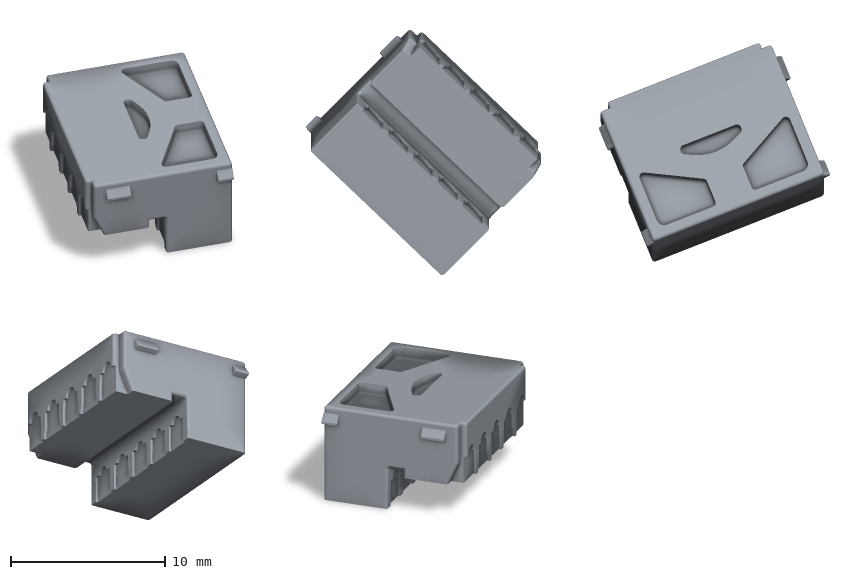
import cadquery as cq
import math

BODY_WIDTH = 12.0
BODY_DEPTH = 9.7
BODY_HEIGHT = 6.55
EDGE_RADIUS = 0.19
DRAFT_SLOPE = math.tan(math.radians(1))

TONGUE_WIDTH = 10.68
SHOULDER_DEPTH = 0.41
TONGUE_BOTTOM = 2.34
UNDERCUT_TOP = 3.83
UNDERCUT_END_Y = 1.08

SLOT_FRONT_Y = 4.13
STEP_FRONT_Y = 5.25
SLOT_CEILING = 2.92
SLOT_CORNER_RADIUS = 0.18

RECESS_COUNT = 5
RECESS_PITCH = 2.25
RECESS_DEPTH = 0.19
RECESS_HALF_WIDTH = 0.86
ARCH_RADIUS = 0.54
UPPER_SHOULDER_Z = 4.17
UPPER_ARCH_CENTRE_Z = 4.19
LOWER_SHOULDER_Z = 1.74
LOWER_ARCH_CENTRE_Z = 1.59
FLARE_START_Z = 3.02
FLARE_HALF_WIDTH = 1.04

POCKET_DEPTH = 0.77
POCKET_FLOOR_RADIUS = 0.18
POCKET_INNER_X = 1.27
POCKET_OUTER_X = 5.26
POCKET_BACK_Y = 9.01
POCKET_INNER_FRONT_Y = 7.14
POCKET_OUTER_FRONT_Y = 5.02
POCKET_BACK_OUTER_RADIUS = 0.5
POCKET_FRONT_OUTER_RADIUS = 0.3
POCKET_CORNER_RADIUS = 0.24

GRIP_HALF_WIDTH = 2.11
GRIP_FRONT_Y = 4.5
GRIP_BACK_Y = 5.7
GRIP_ARC_RADIUS = 3.2
GRIP_ARC_HALF_WIDTH = 1.37
GRIP_CORNER_RADIUS = 0.3

CLIP_REACH = 6.4
CLIP_TOP = 6.13
CLIP_TIP_TOP = 5.63
CLIP_TIP_BOTTOM = 5.48
CLIP_BOTTOM = 5.31
CLIP_EDGE_CHAMFER = 0.05
CLIP_SPANS = ((1.19, 2.82), (8.64, BODY_DEPTH))

HALF_WIDTH = BODY_WIDTH / 2
HALF_TONGUE = TONGUE_WIDTH / 2


def make_body():
    side_profile = (
        cq.Workplane("YZ")
        .moveTo(0, TONGUE_BOTTOM)
        .lineTo(SLOT_FRONT_Y, TONGUE_BOTTOM)
        .lineTo(SLOT_FRONT_Y, SLOT_CEILING)
        .lineTo(STEP_FRONT_Y - SLOT_CORNER_RADIUS, SLOT_CEILING)
        .radiusArc((STEP_FRONT_Y, SLOT_CEILING - SLOT_CORNER_RADIUS), SLOT_CORNER_RADIUS)
        .lineTo(STEP_FRONT_Y, 0)
        .lineTo(BODY_DEPTH, 0)
        .lineTo(BODY_DEPTH, BODY_HEIGHT)
        .lineTo(0, BODY_HEIGHT)
        .close()
    )
    body = side_profile.extrude(HALF_WIDTH, both=True)

    shoulder_width = HALF_WIDTH - HALF_TONGUE
    shoulder_cut = (
        cq.Workplane("YZ", origin=(HALF_TONGUE, 0, 0))
        .moveTo(0, BODY_HEIGHT)
        .lineTo(SHOULDER_DEPTH, BODY_HEIGHT)
        .lineTo(SHOULDER_DEPTH, UNDERCUT_TOP)
        .lineTo(UNDERCUT_END_Y, TONGUE_BOTTOM)
        .lineTo(0, TONGUE_BOTTOM)
        .close()
        .extrude(shoulder_width)
    )
    body = body.cut(shoulder_cut).cut(shoulder_cut.mirror("YZ"))
    return round_edges(body)


def round_edges(body):
    """Round the top rim, the front and back corners, and the side edges of slot and undercut."""
    tolerance = 0.001
    top = body.faces(">Z").edges()
    back = body.faces(">Y").edges("|Z")
    tongue = body.faces("<Y").edges("|Z")
    sides = (
        body.faces("<X or >X")
        .edges()
        .filter(lambda edge: tolerance < edge.Center().z < BODY_HEIGHT - tolerance)
        .filter(lambda edge: abs(edge.Center().z - TONGUE_BOTTOM) > tolerance)
        .filter(lambda edge: edge.Center().y < BODY_DEPTH - tolerance)
    )
    edges = top.vals() + back.vals() + tongue.vals() + sides.vals()
    return body.newObject(edges).fillet(EDGE_RADIUS)


def make_step_draft():
    """Wedge that leans the lower step's front wall back towards the bottom."""
    return (
        cq.Workplane("YZ")
        .moveTo(STEP_FRONT_Y, TONGUE_BOTTOM)
        .lineTo(STEP_FRONT_Y + TONGUE_BOTTOM * DRAFT_SLOPE, 0)
        .lineTo(STEP_FRONT_Y, 0)
        .close()
        .extrude(HALF_WIDTH, both=True)
    )


def make_recess(x, front_y, bottom_z, flare_z, flare_half_width, shoulder_z, arch_centre_z):
    """Straight-sided recess with a round arch on top and a skirt that widens downwards."""
    plane = cq.Workplane("XZ", origin=(x, front_y, 0))
    straight = (
        plane.moveTo(-RECESS_HALF_WIDTH, bottom_z)
        .lineTo(-RECESS_HALF_WIDTH, shoulder_z)
        .lineTo(RECESS_HALF_WIDTH, shoulder_z)
        .lineTo(RECESS_HALF_WIDTH, bottom_z)
        .close()
        .extrude(-RECESS_DEPTH)
    )
    skirt = (
        plane.moveTo(-flare_half_width, bottom_z)
        .lineTo(-RECESS_HALF_WIDTH, flare_z)
        .lineTo(RECESS_HALF_WIDTH, flare_z)
        .lineTo(flare_half_width, bottom_z)
        .close()
        .extrude(-RECESS_DEPTH)
    )
    arch = plane.center(0, arch_centre_z).circle(ARCH_RADIUS).extrude(-RECESS_DEPTH)
    return straight.union(skirt).union(arch)


def cut_recesses(body):
    lower_half_width = RECESS_HALF_WIDTH + LOWER_SHOULDER_Z * DRAFT_SLOPE
    upper_half_width = RECESS_HALF_WIDTH + (UPPER_SHOULDER_Z - TONGUE_BOTTOM) * DRAFT_SLOPE
    for i in range(RECESS_COUNT):
        x = (i - (RECESS_COUNT - 1) / 2) * RECESS_PITCH
        is_flared = i % 2 == 1
        upper = make_recess(
            x, 0, TONGUE_BOTTOM,
            FLARE_START_Z if is_flared else UPPER_SHOULDER_Z,
            FLARE_HALF_WIDTH if is_flared else upper_half_width,
            UPPER_SHOULDER_Z, UPPER_ARCH_CENTRE_Z,
        )
        lower = make_recess(
            x, STEP_FRONT_Y, 0, LOWER_SHOULDER_Z, lower_half_width,
            LOWER_SHOULDER_Z, LOWER_ARCH_CENTRE_Z,
        )
        body = body.cut(upper).cut(lower)
    return body


def make_corner_pocket():
    """Four-sided pocket at the right of the top face."""
    floor_z = BODY_HEIGHT - POCKET_DEPTH
    block = (
        cq.Workplane("XY", origin=(0, 0, floor_z))
        .moveTo(POCKET_INNER_X, POCKET_BACK_Y)
        .lineTo(POCKET_OUTER_X, POCKET_BACK_Y)
        .lineTo(POCKET_OUTER_X, POCKET_OUTER_FRONT_Y)
        .lineTo(POCKET_INNER_X, POCKET_INNER_FRONT_Y)
        .close()
        .extrude(POCKET_DEPTH)
    )
    block = block.edges("|Z and >X and >Y").fillet(POCKET_BACK_OUTER_RADIUS)
    block = block.edges("|Z and <X").fillet(POCKET_CORNER_RADIUS)
    block = block.edges("|Z and <Y").fillet(POCKET_FRONT_OUTER_RADIUS)
    return block.faces("<Z").edges().fillet(POCKET_FLOOR_RADIUS)


def make_grip_pocket():
    arc_drop = GRIP_ARC_RADIUS - math.sqrt(GRIP_ARC_RADIUS**2 - GRIP_ARC_HALF_WIDTH**2)
    arc_end_y = GRIP_BACK_Y - arc_drop
    end_slope = GRIP_ARC_HALF_WIDTH / (GRIP_ARC_RADIUS - arc_drop)
    end_y = arc_end_y - end_slope * (GRIP_HALF_WIDTH - GRIP_ARC_HALF_WIDTH)
    block = (
        cq.Workplane("XY", origin=(0, 0, BODY_HEIGHT - POCKET_DEPTH))
        .moveTo(-GRIP_HALF_WIDTH, GRIP_FRONT_Y)
        .lineTo(-GRIP_HALF_WIDTH, end_y)
        .lineTo(-GRIP_ARC_HALF_WIDTH, arc_end_y)
        .threePointArc((0, GRIP_BACK_Y), (GRIP_ARC_HALF_WIDTH, arc_end_y))
        .lineTo(GRIP_HALF_WIDTH, end_y)
        .lineTo(GRIP_HALF_WIDTH, GRIP_FRONT_Y)
        .close()
        .extrude(POCKET_DEPTH)
    )
    block = block.faces("<X or >X").edges("|Z").fillet(GRIP_CORNER_RADIUS)
    return block.faces("<Z").edges().fillet(POCKET_FLOOR_RADIUS)


def make_clip(front_y, back_y):
    """Wedge-shaped clip on the right side, rooted inside the wall."""
    root_x = HALF_WIDTH - EDGE_RADIUS
    return (
        cq.Workplane("XZ", origin=(0, front_y, 0))
        .moveTo(root_x, CLIP_BOTTOM)
        .lineTo(HALF_WIDTH, CLIP_BOTTOM)
        .lineTo(CLIP_REACH, CLIP_TIP_BOTTOM)
        .lineTo(CLIP_REACH, CLIP_TIP_TOP)
        .lineTo(HALF_WIDTH, CLIP_TOP)
        .lineTo(root_x, CLIP_TOP)
        .close()
        .extrude(front_y - back_y)
        .faces("<Y or >Y")
        .edges("not(|Z and <X)")
        .chamfer(CLIP_EDGE_CHAMFER)
    )


result = make_body().cut(make_step_draft())
result = cut_recesses(result)

corner_pocket = make_corner_pocket()
result = result.cut(corner_pocket).cut(corner_pocket.mirror("YZ")).cut(make_grip_pocket())

for front_y, back_y in CLIP_SPANS:
    clip = make_clip(front_y, back_y)
    result = result.union(clip).union(clip.mirror("YZ"))